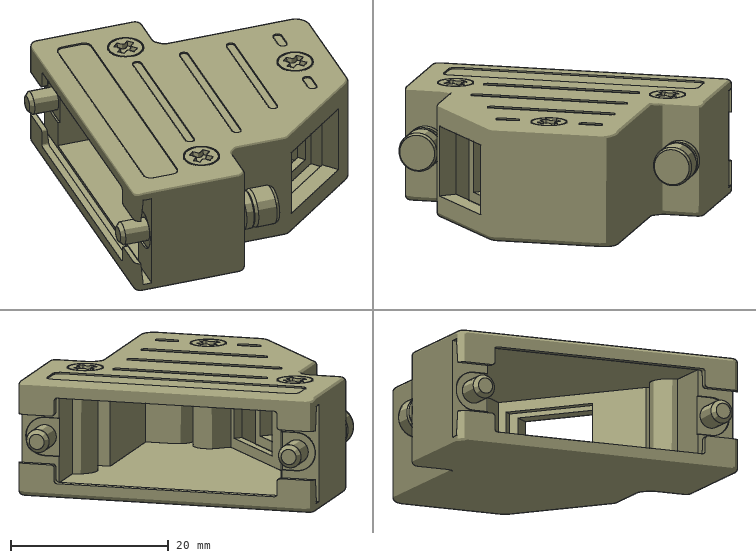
import cadquery as cq
import math

width = 39.3
height = 14.8
base_depth = 15.0
total_depth = 35.0
neck_half_width = 13.3
neck_foot_chamfer = 1.0
neck_foot_fillet = 1.0
slope_top_x = 3.15
slope_bottom_y = 23.0
edge_radius = 0.6
base_corner_radius = 1.0
neck_corner_radius = 2.0

opening_half_width = 14.75
opening_height = 11.1
opening_corner_radius = 0.4
cavity_height = 11.8
cavity_back_y = 14.03
neck_wall_left_x = -11.48
neck_back_y = 33.8

slot_back_y = 2.15
slot_height = 12.58
lip_root_thickness = 1.02
lip_tip_thickness = 0.7
side_gap_height = 6.33
lip_corner_radius = 0.4

exit_wall_total = 5.95
exit_inner_wall = 1.1
exit_outer_wall = 2.35
exit_width = 12.03
exit_height = 9.08
exit_end_margin = 2.9
clamp_overhang = 1.4

first_row_y = 11.0
row_pitch = 6.33
last_row_y = first_row_y + 3 * row_pitch
case_screw_points = [(-13.87, first_row_y), (13.87, first_row_y), (-3.22, last_row_y)]
base_boss_radius = 2.5
neck_boss_radius = 2.05
neck_boss_x = -3.1
base_boss_y = 10.7
screw_head_diameter = 4.6
screw_gap = 0.1
screw_gap_depth = 0.2
cross_span = 2.83
cross_blade_width = 0.9
cross_fillet_radius = 0.3
cross_depth = 0.6
cross_angle = 45
cross_taper_angle = 15

groove_width = 1.15
groove_left_x = -10.2
long_groove_right_ends = (10.2, 10.2, 6.45)
short_groove_ends = [(groove_left_x, -7.2), (0.63, 3.7)]
recess_depth = 0.2
label_size = (33.4, 4.5)
label_center_y = 4.8
label_corner_radius = 1.0

block_top_z = 0.25
block_right_x = -5.65
block_front_y = 29.85
block_corner_radius = 2.15

thumb_screw_x = 16.65
shaft_diameter = 3.0
shaft_tip_y = -1.3
tip_chamfer = 0.5
collar_start_y = 15.2
collar_end_y = 16.2
head_start_y = 16.4
head_end_y = 19.73
head_diameter = 5.0
head_chamfer = 0.45
head_neck_diameter = 4.1
seat_width = 4.95
seat_depth = 0.28

pick_margin = 0.05

half_width = width / 2
half_height = height / 2
slope_run = neck_half_width - slope_top_x
slope_drop = total_depth - slope_bottom_y
slope_length = math.hypot(slope_run, slope_drop)
along = (slope_run / slope_length, -slope_drop / slope_length)
outward = (-along[1], along[0])


def slope_point(distance, depth):
    """Point at a distance down the slope and a depth inside its outer face."""
    x = slope_top_x + distance * along[0] - depth * outward[0]
    y = total_depth + distance * along[1] - depth * outward[1]
    return (x, y)


def prism(points, z_low, z_high):
    return cq.Workplane("XY").workplane(offset=z_low).polyline(points).close().extrude(z_high - z_low)


def centered_prism(points, tall):
    return prism(points, -tall / 2, tall / 2)


def post(x, y, radius, z_low, z_high):
    return cq.Workplane("XY").workplane(offset=z_low).center(x, y).circle(radius).extrude(z_high - z_low)


def make_shell():
    foot_y = base_depth + neck_foot_chamfer
    foot_x = neck_half_width + neck_foot_chamfer
    outline = [
        (-half_width, 0),
        (half_width, 0),
        (half_width, base_depth),
        (foot_x, base_depth),
        (neck_half_width, foot_y),
        (neck_half_width, slope_bottom_y),
        (slope_top_x, total_depth),
        (-neck_half_width, total_depth),
        (-neck_half_width, foot_y),
        (-foot_x, base_depth),
        (-half_width, base_depth),
    ]
    shell = centered_prism(outline, height)
    base_corners = [(x, y) for x in (-half_width, half_width) for y in (0, base_depth)]
    shell = fillet_corners(shell, base_corners, base_corner_radius)
    shell = fillet_corners(shell, [(neck_half_width, slope_bottom_y)], base_corner_radius)
    foot_corners = [(side * foot_x, base_depth) for side in (-1, 1)]
    foot_corners += [(side * neck_half_width, foot_y) for side in (-1, 1)]
    shell = fillet_corners(shell, foot_corners, neck_foot_fillet)
    neck_corners = [(-neck_half_width, total_depth), (slope_top_x, total_depth)]
    shell = fillet_corners(shell, neck_corners, neck_corner_radius)
    return shell.faces("<Z or >Z").edges().fillet(edge_radius)


def fillet_corners(body, corners, radius):
    """Round the vertical edges that stand at the given points."""
    for x, y in corners:
        low = (x - pick_margin, y - pick_margin, -height)
        high = (x + pick_margin, y + pick_margin, height)
        body = body.edges("|Z").edges(cq.selectors.BoxSelector(low, high)).fillet(radius)
    return body


def make_cavity():
    """Space inside the hood, leaving material for the case screw bosses and the support block."""
    opening = (
        cq.Workplane("XZ")
        .rect(2 * opening_half_width, opening_height)
        .extrude(-slot_back_y)
        .edges("|Y")
        .fillet(opening_corner_radius)
    )
    room = (
        cq.Workplane("XZ", origin=(0, slot_back_y, 0))
        .rect(2 * opening_half_width, cavity_height)
        .extrude(slot_back_y - cavity_back_y)
    )
    offset = (neck_boss_x - slope_top_x, last_row_y - total_depth)
    boss_distance = offset[0] * along[0] + offset[1] * along[1]
    boss_depth = -(offset[0] * outward[0] + offset[1] * outward[1])
    shoulder_distance = boss_distance + neck_boss_radius
    wall_reach = (total_depth - base_depth) / -along[1]
    neck = centered_prism(
        [
            (neck_wall_left_x, slot_back_y),
            (-neck_wall_left_x, slot_back_y),
            (-neck_wall_left_x, cavity_back_y),
            slope_point(wall_reach, exit_wall_total),
            slope_point(shoulder_distance, exit_wall_total),
            slope_point(shoulder_distance, boss_depth),
            (neck_boss_x, last_row_y),
            (neck_boss_x, neck_back_y),
            (neck_wall_left_x, neck_back_y),
        ],
        cavity_height,
    )
    floor_z = -cavity_height / 2
    cavity = opening.union(room).union(neck)
    cavity = cavity.cut(post(neck_boss_x, last_row_y, neck_boss_radius, floor_z, -floor_z))
    for x in (-opening_half_width, opening_half_width):
        cavity = cavity.cut(post(x, base_boss_y, base_boss_radius, floor_z, -floor_z))
    block_points = [
        (neck_wall_left_x, block_front_y),
        (block_right_x, block_front_y),
        (block_right_x, neck_back_y),
        (neck_wall_left_x, neck_back_y),
    ]
    block = fillet_corners(
        prism(block_points, floor_z, block_top_z),
        [(block_right_x, block_front_y)],
        block_corner_radius,
    )
    return cavity.cut(block)


def make_flange_slot():
    """Slot across the full width, with tapered lips and open gaps at both sides."""
    half_profile = [
        (slot_back_y, slot_height / 2),
        (lip_root_thickness, slot_height / 2),
        (lip_tip_thickness, side_gap_height / 2),
    ]
    lower_half = [(y, -z) for y, z in reversed(half_profile)]
    slot = cq.Workplane("YZ").polyline(half_profile + lower_half).close().extrude(half_width, both=True)
    gap = cq.Workplane("XY").box(width, 2 * lip_root_thickness, side_gap_height)
    return slot.union(gap)


def round_lip_corners(body):
    """Round the lip corners where each side gap meets the front opening."""
    for x in (-opening_half_width, opening_half_width):
        for z in (-side_gap_height / 2, side_gap_height / 2):
            low = (x - pick_margin, -pick_margin, z - pick_margin)
            high = (x + pick_margin, lip_root_thickness, z + pick_margin)
            edge = body.edges("|Y").edges(cq.selectors.BoxSelector(low, high))
            body = edge.fillet(lip_corner_radius)
    return body


def make_cable_exit():
    """Window through the sloping wall with a wider clamp chamber inside it."""

    def slope_box(start, end, outer_depth, inner_depth, tall):
        corners = [(start, outer_depth), (end, outer_depth), (end, inner_depth), (start, inner_depth)]
        return centered_prism([slope_point(*corner) for corner in corners], tall)

    start = exit_end_margin
    end = start + exit_width
    window = slope_box(start, end, 0, exit_wall_total, exit_height)
    chamber = slope_box(
        start - clamp_overhang,
        end + clamp_overhang,
        exit_outer_wall,
        exit_wall_total - exit_inner_wall,
        cavity_height,
    )
    return window.union(chamber)


def top_recess(x, y, depth):
    return cq.Workplane("XY").workplane(offset=half_height - depth).center(x, y)


def make_groove(left_x, right_x, y):
    length = right_x - left_x
    middle = top_recess((left_x + right_x) / 2, y, recess_depth)
    return middle.slot2D(length, groove_width).extrude(recess_depth)


def make_label_recess():
    recess = top_recess(0, label_center_y, recess_depth).rect(*label_size).extrude(recess_depth)
    return recess.edges("|Z").fillet(label_corner_radius)


def make_screw_marks(x, y):
    """Ring gap around a case screw head and its diagonal cross recess."""
    radius = screw_head_diameter / 2
    ring = top_recess(x, y, screw_gap_depth).circle(radius).circle(radius - screw_gap)
    ring = ring.extrude(screw_gap_depth)
    blade = top_recess(x, y, 0).transformed(rotate=(0, 0, cross_angle))
    outline = blade.rect(cross_span, cross_blade_width).extrude(cross_depth)
    outline = outline.union(blade.rect(cross_blade_width, cross_span).extrude(cross_depth))
    inner_offset = cross_blade_width / math.sqrt(2)
    inner_corners = [(x + shift, y) for shift in (-inner_offset, inner_offset)]
    inner_corners += [(x, y + shift) for shift in (-inner_offset, inner_offset)]
    outline = fillet_corners(outline, inner_corners, cross_fillet_radius)
    mouth = outline.faces("<Z").wires().toPending()
    cross = mouth.extrude(-cross_depth, combine=False, taper=cross_taper_angle)
    return ring.union(cross)


def make_thumb_screw(x):
    shaft_r = shaft_diameter / 2
    neck_r = head_neck_diameter / 2
    head_r = head_diameter / 2
    profile = [
        (0, shaft_tip_y),
        (shaft_r - tip_chamfer, shaft_tip_y),
        (shaft_r, shaft_tip_y + tip_chamfer),
        (shaft_r, collar_start_y),
        (head_r, collar_start_y),
        (head_r, collar_end_y),
        (neck_r, collar_end_y),
        (neck_r, head_start_y),
        (head_r - head_chamfer / 2, head_start_y),
        (head_r, head_start_y + head_chamfer),
        (head_r, head_end_y - head_chamfer),
        (head_r - head_chamfer / 2, head_end_y),
        (0, head_end_y),
    ]
    return cq.Workplane("XY").polyline(profile).close().revolve(360, (0, 0), (0, 1)).translate((x, 0, 0))


def make_seat(side):
    """Shallow round-ended recess around a thumb screw shaft, open to the cavity."""
    center_x = side * thumb_screw_x
    inner_x = side * opening_half_width
    plane = cq.Workplane("XZ", origin=(0, slot_back_y, 0))
    round_end = plane.center(center_x, 0).circle(seat_width / 2).extrude(-seat_depth)
    straight = (
        plane.center((center_x + inner_x) / 2, 0)
        .rect(thumb_screw_x - opening_half_width, seat_width)
        .extrude(-seat_depth)
    )
    return round_end.union(straight)


result = make_shell().cut(make_cavity()).cut(make_flange_slot()).cut(make_cable_exit())
result = round_lip_corners(result)

for left_x, right_x in short_groove_ends:
    result = result.cut(make_groove(left_x, right_x, last_row_y))
for row, right_x in enumerate(long_groove_right_ends):
    result = result.cut(make_groove(groove_left_x, right_x, first_row_y + row * row_pitch))
result = result.cut(make_label_recess())
for x, y in case_screw_points:
    result = result.cut(make_screw_marks(x, y))
for side in (-1, 1):
    result = result.cut(make_seat(side)).union(make_thumb_screw(side * thumb_screw_x))